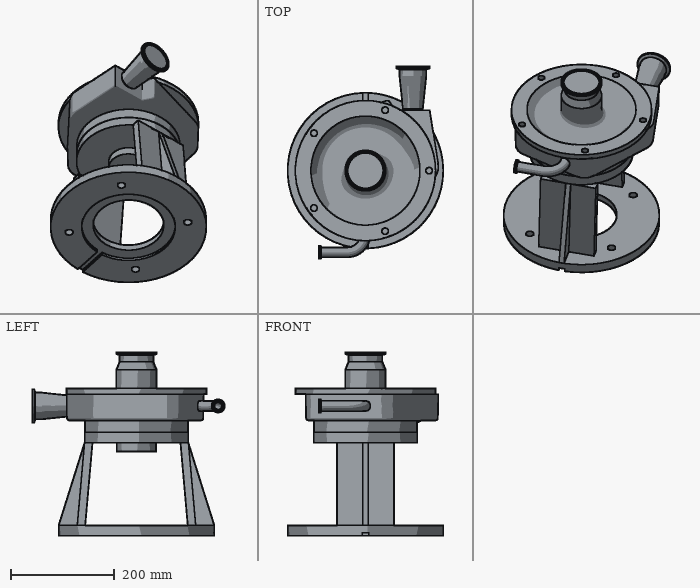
import math

import cadquery as cq

BASE_RADIUS = 150.0
BASE_THICKNESS = 20.0
BASE_BORE_RADIUS = 68.0
BASE_RECESS_RADIUS = 90.0
BASE_RECESS_DEPTH = 6.0
BASE_HOLE_DIAMETER = 15.0
BASE_HOLE_CIRCLE_RADIUS = 115.0
BASE_HOLE_COUNT = 4
BASE_HOLE_START_ANGLE = 45.0
DRAIN_SLOT_WIDTH = 12.0

LEG_HEIGHT = 159.0
LEG_WIDTH = 110.0
LEG_THICKNESS = 15.5
LEG_LEAN = 14.0
RIB_THICKNESS = 10.0

BACKPLATE_RADIUS = 100.0
BACKPLATE_HEIGHT = 20.5
SPACER_RADIUS = 99.5
SPACER_HEIGHT = 22.5
SHAFT_RADIUS = 38.0
SHAFT_LENGTH = 17.0

CASING_HEIGHT = 51.0
CASING_APOTHEM = 115.4
CASING_CORNER_RADIUS = 34.0
CUTWATER_CORNER_RADIUS = 5.0
CASING_DRAFT = 1.2
CASING_BOTTOM_FILLET = 5.0
OUTLET_FACE_Y = 116.4
OUTLET_SIDE_ANGLE = 9.0
OUTLET_SIDE_DISTANCE = 140.5

COVER_RADIUS = 135.0
COVER_THICKNESS = 11.0
COVER_HOLE_DIAMETER = 12.5
COVER_HOLE_CIRCLE_RADIUS = 122.5
COVER_HOLE_COUNT = 5
DISH_RIM_RADIUS = 105.0
DISH_DEPTH = 15.6
DISH_CORNER_FILLET = 15.0

INLET_BODY_RADIUS = 39.0
INLET_NECK_RADIUS = 32.8
INLET_ROOT_FILLET = 15.0
INLET_SHOULDER_Z = 319.5
INLET_NECK_Z = 335.0
INLET_TOP_Z = 353.0
INLET_RIM_RADIUS = 39.2

PORT_HEIGHT_Z = 250.0
OUTLET_X = 91.3
OUTLET_SPIGOT_RADIUS = 15.5
OUTLET_START_RADIUS = 19.3
OUTLET_END_RADIUS = 26.0
OUTLET_RIM_RADIUS = 32.5
OUTLET_CONE_START_Y = 119.0
OUTLET_CONE_END_Y = 182.3
OUTLET_END_Y = 200.7

DRAIN_RADIUS = 9.75
DRAIN_BORE_RADIUS = 7.0
DRAIN_RIM_RADIUS = 12.75
DRAIN_BEND_RADIUS = 35.0
DRAIN_AXIS_Y = -157.25
DRAIN_END_X = -89.6

INLET_RIM_WIDTH = 2.8
SIDE_PORT_RIM_WIDTH = 3.7
FERRULE_BACK_ANGLE = 20.0
GROOVE_RADIUS = 1.4
GROOVE_INSET = 3.8

BACKPLATE_Z = BASE_THICKNESS + LEG_HEIGHT
SPACER_Z = BACKPLATE_Z + BACKPLATE_HEIGHT
CASING_Z = SPACER_Z + SPACER_HEIGHT
COVER_Z = CASING_Z + CASING_HEIGHT
COVER_TOP_Z = COVER_Z + COVER_THICKNESS
DISH_FLOOR_Z = COVER_TOP_Z - DISH_DEPTH

EMBED = 6.0


def disc(radius, height, z):
    """Upright cylinder on the main axis with its lower face at height z."""
    return cq.Workplane("XY").workplane(offset=z).circle(radius).extrude(height)


def bolt_holes(count, circle_radius, diameter, depth, z, start_angle=0.0):
    """Ring of upright hole cutters starting at height z."""
    return (
        cq.Workplane("XY")
        .workplane(offset=z)
        .polarArray(circle_radius, start_angle, 360.0, count)
        .circle(diameter / 2)
        .extrude(depth)
    )


def ferrule(rim_radius, tube_radius, rim_width):
    """Clamp ferrule with its grooved face at Z = 0 and its tube side below."""
    back_length = (rim_radius - tube_radius) * math.tan(math.radians(FERRULE_BACK_ANGLE))
    back_z = -rim_width - back_length
    body = (
        cq.Workplane("XZ")
        .polyline([
            (0, 0),
            (rim_radius, 0),
            (rim_radius, -rim_width),
            (tube_radius, back_z),
            (0, back_z),
        ])
        .close()
        .revolve(360, (0, 0), (0, 1))
    )
    groove = cq.Workplane(obj=cq.Solid.makeTorus(rim_radius - GROOVE_INSET, GROOVE_RADIUS))
    return body.cut(groove)


def make_base():
    base = disc(BASE_RADIUS, BASE_THICKNESS, 0)
    base = base.cut(disc(BASE_BORE_RADIUS, BASE_THICKNESS, 0))
    base = base.cut(disc(BASE_RECESS_RADIUS, BASE_RECESS_DEPTH, 0))
    base = base.cut(bolt_holes(
        BASE_HOLE_COUNT, BASE_HOLE_CIRCLE_RADIUS, BASE_HOLE_DIAMETER,
        BASE_THICKNESS, 0, BASE_HOLE_START_ANGLE,
    ))
    slot = cq.Workplane("XY").box(
        DRAIN_SLOT_WIDTH, BASE_RADIUS, BASE_RECESS_DEPTH, centered=(True, False, False)
    )
    return base.cut(slot.translate((0, -BASE_RADIUS, 0)))


def make_leg():
    """Leg on the +Y side, leaning inward towards the top."""
    top_y = BACKPLATE_RADIUS
    foot_y = top_y + LEG_LEAN
    plate = (
        cq.Workplane("YZ")
        .polyline([
            (foot_y - LEG_THICKNESS, BASE_THICKNESS),
            (foot_y, BASE_THICKNESS),
            (top_y, BACKPLATE_Z),
            (top_y - LEG_THICKNESS, BACKPLATE_Z),
        ])
        .close()
        .extrude(LEG_WIDTH / 2, both=True)
    )
    rib = (
        cq.Workplane("YZ")
        .polyline([
            (foot_y - LEG_THICKNESS, BASE_THICKNESS),
            (BASE_RADIUS, BASE_THICKNESS),
            (top_y, BACKPLATE_Z),
            (top_y - LEG_THICKNESS, BACKPLATE_Z),
        ])
        .close()
        .extrude(RIB_THICKNESS / 2, both=True)
    )
    return plate.union(rib)


def wall_intersection(first, second):
    """Corner of two walls, each given by its normal angle and distance from the axis."""
    angle_1, distance_1 = math.radians(first[0]), first[1]
    angle_2, distance_2 = math.radians(second[0]), second[1]
    crossing = math.sin(angle_2 - angle_1)
    x = (distance_1 * math.sin(angle_2) - distance_2 * math.sin(angle_1)) / crossing
    y = (distance_2 * math.cos(angle_1) - distance_1 * math.cos(angle_2)) / crossing
    return x, y


def make_casing():
    walls = [
        (108.0, CASING_APOTHEM, CASING_CORNER_RADIUS),
        (180.0, CASING_APOTHEM, CASING_CORNER_RADIUS),
        (252.0, CASING_APOTHEM, CASING_CORNER_RADIUS),
        (324.0, CASING_APOTHEM, CASING_CORNER_RADIUS),
        (OUTLET_SIDE_ANGLE, OUTLET_SIDE_DISTANCE, 0.0),
        (90.0, OUTLET_FACE_Y, 0.0),
        (36.0, CASING_APOTHEM, CUTWATER_CORNER_RADIUS),
    ]
    next_walls = walls[1:] + walls[:1]
    corners = [wall_intersection(wall, after) for wall, after in zip(walls, next_walls)]
    prism = cq.Workplane("XY").polyline(corners).close().extrude(CASING_HEIGHT)
    for (x, y), (_, _, radius) in zip(corners, walls):
        if radius > 0:
            corner_edge = cq.selectors.NearestToPointSelector((x, y, CASING_HEIGHT / 2))
            prism = prism.edges("|Z").edges(corner_edge).fillet(radius)
    outline = prism.faces(">Z").wires().val()
    casing = (
        cq.Workplane("XY")
        .add(outline)
        .toPending()
        .extrude(-CASING_HEIGHT, taper=CASING_DRAFT)
        .faces("<Z")
        .edges()
        .fillet(CASING_BOTTOM_FILLET)
    )
    return casing.translate((0, 0, CASING_Z))


def make_dish_cutter():
    """Dish with a 45 degree wall, a rounded floor corner and a flat floor."""
    floor_corner_radius = DISH_RIM_RADIUS - DISH_DEPTH
    cutter = (
        cq.Workplane("XZ")
        .polyline([
            (0, DISH_FLOOR_Z),
            (floor_corner_radius, DISH_FLOOR_Z),
            (DISH_RIM_RADIUS, COVER_TOP_Z),
            (0, COVER_TOP_Z),
        ])
        .close()
        .revolve(360, (0, 0), (0, 1))
    )
    return cutter.faces("<Z").edges().fillet(DISH_CORNER_FILLET)


def make_inlet():
    root_radius = INLET_BODY_RADIUS + INLET_ROOT_FILLET
    root_top_z = DISH_FLOOR_Z + INLET_ROOT_FILLET
    arc_offset = INLET_ROOT_FILLET * (1 - math.sqrt(0.5))
    body = (
        cq.Workplane("XZ")
        .moveTo(0, DISH_FLOOR_Z - EMBED)
        .lineTo(root_radius, DISH_FLOOR_Z - EMBED)
        .lineTo(root_radius, DISH_FLOOR_Z)
        .threePointArc(
            (INLET_BODY_RADIUS + arc_offset, DISH_FLOOR_Z + arc_offset),
            (INLET_BODY_RADIUS, root_top_z),
        )
        .lineTo(INLET_BODY_RADIUS, INLET_SHOULDER_Z)
        .lineTo(INLET_NECK_RADIUS, INLET_NECK_Z)
        .lineTo(INLET_NECK_RADIUS, INLET_TOP_Z - INLET_RIM_WIDTH)
        .lineTo(0, INLET_TOP_Z - INLET_RIM_WIDTH)
        .close()
        .revolve(360, (0, 0), (0, 1))
    )
    end = ferrule(INLET_RIM_RADIUS, INLET_NECK_RADIUS, INLET_RIM_WIDTH)
    return body.union(end.translate((0, 0, INLET_TOP_Z)))


def make_outlet():
    rim_start_y = OUTLET_END_Y - SIDE_PORT_RIM_WIDTH
    body = (
        cq.Workplane("XY")
        .polyline([
            (0, OUTLET_FACE_Y - EMBED),
            (OUTLET_SPIGOT_RADIUS, OUTLET_FACE_Y - EMBED),
            (OUTLET_SPIGOT_RADIUS, OUTLET_CONE_START_Y),
            (OUTLET_START_RADIUS, OUTLET_CONE_START_Y),
            (OUTLET_END_RADIUS, OUTLET_CONE_END_Y),
            (OUTLET_END_RADIUS, rim_start_y),
            (0, rim_start_y),
        ])
        .close()
        .revolve(360, (0, 0), (0, 1))
    )
    end = ferrule(OUTLET_RIM_RADIUS, OUTLET_END_RADIUS, SIDE_PORT_RIM_WIDTH)
    end = end.rotate((0, 0, 0), (1, 0, 0), -90).translate((0, OUTLET_END_Y, 0))
    return body.union(end).translate((OUTLET_X, 0, PORT_HEIGHT_Z))


def drain_sweep(radius):
    """Rod of the given radius along the drain axis, ending just inside the casing wall."""
    elbow_end_y = DRAIN_AXIS_Y + DRAIN_BEND_RADIUS
    path = (
        cq.Workplane("XY")
        .moveTo(DRAIN_END_X, DRAIN_AXIS_Y)
        .lineTo(-DRAIN_BEND_RADIUS, DRAIN_AXIS_Y)
        .radiusArc((0, elbow_end_y), -DRAIN_BEND_RADIUS)
        .lineTo(0, -CASING_APOTHEM + EMBED)
    )
    rod = cq.Workplane("YZ", origin=(DRAIN_END_X, DRAIN_AXIS_Y, 0)).circle(radius).sweep(path)
    return rod.translate((0, 0, PORT_HEIGHT_Z))


def make_drain():
    end = ferrule(DRAIN_RIM_RADIUS, DRAIN_RADIUS, SIDE_PORT_RIM_WIDTH)
    end = end.rotate((0, 0, 0), (0, 1, 0), -90)
    return drain_sweep(DRAIN_RADIUS).union(end.translate((DRAIN_END_X, DRAIN_AXIS_Y, PORT_HEIGHT_Z)))


def make_cover():
    cover = disc(COVER_RADIUS, COVER_THICKNESS, COVER_Z)
    return cover.cut(bolt_holes(
        COVER_HOLE_COUNT, COVER_HOLE_CIRCLE_RADIUS, COVER_HOLE_DIAMETER, COVER_THICKNESS, COVER_Z
    ))


leg = make_leg()

result = (
    make_base()
    .union(leg)
    .union(leg.mirror("XZ"))
    .union(disc(BACKPLATE_RADIUS, BACKPLATE_HEIGHT, BACKPLATE_Z))
    .union(disc(SHAFT_RADIUS, SHAFT_LENGTH, BACKPLATE_Z - SHAFT_LENGTH))
    .union(disc(SPACER_RADIUS, SPACER_HEIGHT, SPACER_Z))
    .union(make_casing())
    .union(make_cover())
    .cut(make_dish_cutter())
    .union(make_inlet())
    .union(make_outlet())
    .union(make_drain())
    .cut(drain_sweep(DRAIN_BORE_RADIUS))
)